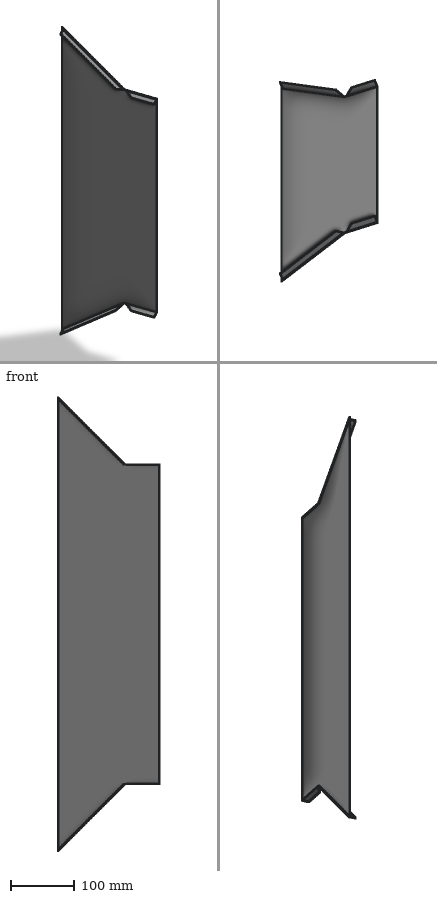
import cadquery as cq

length = 714.0
width = 160.0
depth = 12.0
thickness = 1.0
taper = 105.0
tip_setback = 2.0
shoulder_gap = 3.0
sloped_bevel = 10.0
shoulder_bevel = 13.5

half_length = length / 2
shoulder_z = half_length - taper
diagonal_thickness = thickness * 2 ** 0.5


def make_plate():
    outline = [
        (0, -half_length),
        (taper, -shoulder_z),
        (width, -shoulder_z),
        (width, shoulder_z),
        (taper, shoulder_z),
        (0, half_length),
    ]
    return cq.Workplane("XZ").polyline(outline).close().extrude(thickness)


def flange_silhouette(root_start, root_end, rim_start, rim_end):
    """Flange shape in X and Y, extruded through the full part length."""
    points = [(root_start, 0), (root_end, 0), (rim_end, -depth), (rim_start, -depth)]
    return (
        cq.Workplane("XY")
        .workplane(offset=-half_length)
        .polyline(points)
        .close()
        .extrude(length)
    )


def make_sloped_flange():
    strip = (
        cq.Workplane("XZ")
        .polyline([
            (0, half_length),
            (taper, shoulder_z),
            (taper, shoulder_z - diagonal_thickness),
            (0, half_length - diagonal_thickness),
        ])
        .close()
        .extrude(depth)
    )
    return strip.intersect(
        flange_silhouette(tip_setback, taper, tip_setback, taper - sloped_bevel)
    )


def make_shoulder_flange():
    root_start = taper + shoulder_gap
    strip = (
        cq.Workplane("XZ")
        .polyline([
            (taper, shoulder_z),
            (width, shoulder_z),
            (width, shoulder_z - thickness),
            (taper, shoulder_z - thickness),
        ])
        .close()
        .extrude(depth)
    )
    return strip.intersect(
        flange_silhouette(root_start, width, root_start + shoulder_bevel, width)
    )


result = make_plate()
for flange in (make_sloped_flange(), make_shoulder_flange()):
    result = result.union(flange).union(flange.mirror("XY"))